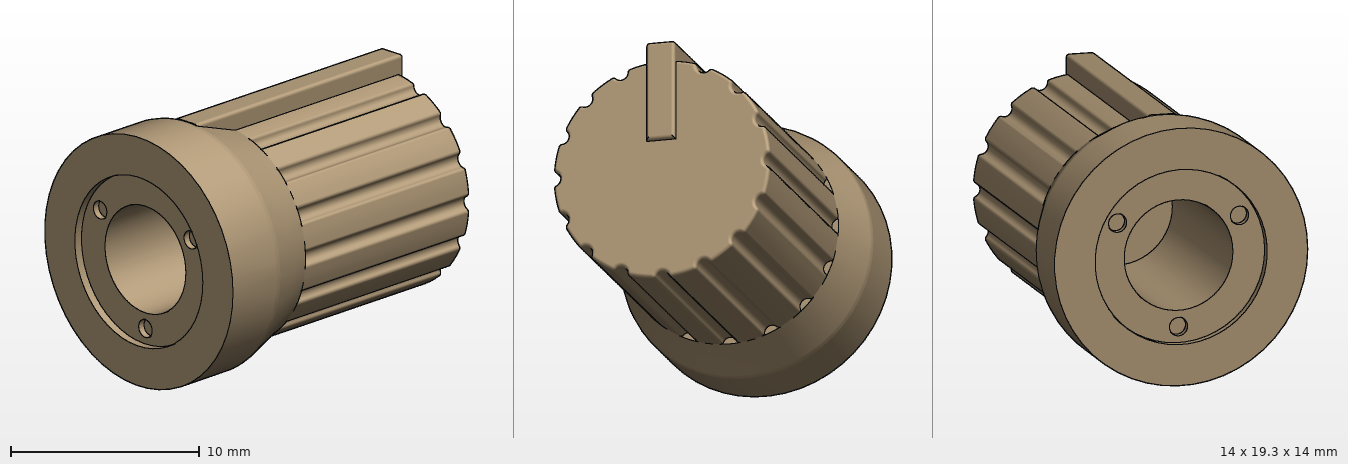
import cadquery as cq
import math


total_length = 19.25
flange_diameter = 14.0
flange_radius = flange_diameter / 2
grip_radius = 6.0
grip_end = 19.0

flange_length = 3.5
rim_blend_radius = 1.0
taper_end = 6.5

flute_positions = 16
flute_radius = 0.4
flute_circle_radius = 6.05
edge_round = 0.2

rib_angle = 90
rib_width = 1.6
rib_start = 3.6
rib_bottom = 1.6

recess_radius = 4.75
recess_depth = 0.5
bore_radius = 3.0
bore_depth = 12.0
pin_hole_radius = 0.5
pin_hole_depth = 0.4
pin_circle_radius = 3.89
pin_hole_count = 3


def cylinder_along_y(radius, start, end, x=0, z=0):
    """Solid cylinder parallel to Y, spanning start to end."""
    return cq.Workplane("XZ", origin=(x, start, z)).circle(radius).extrude(start - end)


def make_base():
    """Flange and the taper leading to the grip, blended where they meet."""
    profile = (
        cq.Workplane("XY")
        .lineTo(flange_radius, 0)
        .lineTo(flange_radius, flange_length)
        .lineTo(grip_radius, taper_end)
        .lineTo(0, taper_end)
        .close()
    )
    base = profile.revolve(360, (0, 0, 0), (0, 1, 0))
    widest_circles = cq.selectors.RadiusNthSelector(-1)
    flange_circles = base.edges("%CIRCLE").edges(widest_circles)
    return flange_circles.edges(">Y").fillet(rim_blend_radius)


def polar(radius, angle):
    """Point at an angle in degrees from the +X axis."""
    return (radius * math.cos(math.radians(angle)), radius * math.sin(math.radians(angle)))


def make_grip():
    """Cylinder with round-lipped flutes all round except under the rib."""
    lip_centre_radius = grip_radius - edge_round
    lip_distance = flute_radius + edge_round

    lip_angle_cosine = (flute_circle_radius**2 + lip_centre_radius**2 - lip_distance**2) / (
        2 * flute_circle_radius * lip_centre_radius
    )
    lip_angle = math.degrees(math.acos(lip_angle_cosine))
    pitch_angle = 360 / flute_positions
    flute_angles = [rib_angle + position * pitch_angle for position in range(1, flute_positions)]

    def lip_points(flute_angle, side):
        """Ends and middle of one lip, from the grip surface to the flute."""
        centre_angle = flute_angle + side * lip_angle
        centre = cq.Vector(*polar(lip_centre_radius, centre_angle))
        outward = cq.Vector(*polar(1, centre_angle))
        to_flute = (cq.Vector(*polar(flute_circle_radius, flute_angle)) - centre).normalized()
        directions = (outward, (outward + to_flute).normalized(), to_flute)
        return [(centre + direction * edge_round).toTuple()[:2] for direction in directions]

    first_start = lip_points(flute_angles[0], -1)[0]
    outline = cq.Workplane("XZ", origin=(0, taper_end, 0)).moveTo(*first_start)
    for flute_angle in flute_angles:
        lip_start, lip_middle, flute_start = lip_points(flute_angle, -1)
        lip_end, far_lip_middle, flute_end = lip_points(flute_angle, 1)
        if flute_angle != flute_angles[0]:
            outline = outline.threePointArc(polar(grip_radius, flute_angle - pitch_angle / 2), lip_start)
        outline = outline.threePointArc(lip_middle, flute_start)
        outline = outline.threePointArc(polar(flute_circle_radius - flute_radius, flute_angle), flute_end)
        outline = outline.threePointArc(far_lip_middle, lip_end)
    outline = outline.threePointArc(polar(grip_radius, rib_angle), first_start).close()
    grip = outline.extrude(taper_end - grip_end)
    return grip.faces(">Y").edges().fillet(edge_round)


def make_rib():
    """Pointer bar along the top of the knob, slightly longer than the grip."""
    rib = (
        cq.Workplane("XY", origin=(0, rib_start, rib_bottom))
        .rect(rib_width, total_length - rib_start)
        .extrude(flange_radius - rib_bottom)
        .translate((0, (total_length - rib_start) / 2, 0))
    )
    rib = rib.faces(">Z").edges("|Y").fillet(edge_round)
    return rib.faces(">Y").edges().fillet(edge_round)


def cut_mounting_face(knob):
    """Round recess, blind shaft bore and a ring of small locating holes."""
    knob = knob.cut(cylinder_along_y(recess_radius, 0, recess_depth))
    knob = knob.cut(cylinder_along_y(bore_radius, 0, bore_depth))
    for index in range(pin_hole_count):
        x, z = polar(pin_circle_radius, -rib_angle + index * 360 / pin_hole_count)
        knob = knob.cut(cylinder_along_y(pin_hole_radius, 0, recess_depth + pin_hole_depth, x, z))
    return knob


result = cut_mounting_face(make_base().union(make_grip()).union(make_rib()))